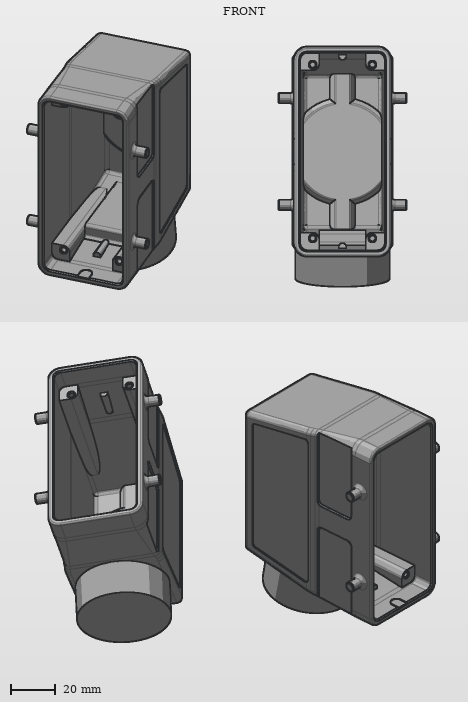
import cadquery as cq
import math


RIM_BAND = 10.6
SHOULDER_START = 32.3
SHOULDER_END = 36.8
HOOD_DEPTH = 75.7
FRONT_HALF_WIDTH = 21.6
BACK_HALF_WIDTH = 22.5
RIM_HALF_HEIGHT = 46.8
SHOULDER_HALF_HEIGHT = 44.1
BACK_HALF_HEIGHT = 36.5
RIM_CORNER = 5.8
BACK_CORNER = 2.6
BEND_HALF_LENGTH = 1.2
RIM_FILLET = 0.9
BACK_FILLET = 2.1

WALL = 2.9
CAVITY_DEPTH = HOOD_DEPTH - WALL
CAVITY_BACK_HALF_WIDTH = 17.4
CAVITY_BACK_HALF_HEIGHT = 34.2
CAVITY_RIM_CORNER = RIM_CORNER - WALL
CAVITY_BACK_CORNER = 1.6
CAVITY_BACK_FILLET = 1.6
MOUTH_CHAMFER = 0.6

DISC_RADIUS = 24.0
STRIP_HALF_WIDTH = 5.6
RELIEF_HEIGHT = 2.1
RELIEF_TAPER = 45.0
RELIEF_FILLET = 1.1

SCREW_X = 13.3
SCREW_Z = 38.6
POST_FACE = 10.2
POST_INNER_X = 10.3
POST_INNER_Z = 36.1
POST_CORNER = 3.2
SCREW_RADIUS = 1.3
SCREW_CHAMFER = 0.5
SCREW_DEPTH = 16.0

PAD_FACE = 28.9
PAD_TOP_Z = -35.1
PAD_FOOT_Z = -41.6
PAD_FILLET = 1.5
RIB_FACE = 17.1
RIB_RADIUS = 1.7
RIB_TOP = 40.8
NOTCH_WIDTH = 5.5
NOTCH_LENGTH = 6.7
NOTCH_DEPTH = 0.3

LABEL_FRONT = 37.1
LABEL_BACK = 70.2
LABEL_FRONT_HALF_HEIGHT = 37.8
LABEL_BACK_HALF_HEIGHT = 32.2
LABEL_DEPTH = 0.3
LABEL_CORNER = 1.6
POCKET_FRONT = 12.1
POCKET_BACK = 31.6
POCKET_INNER_Z = 6.2
POCKET_DEPTH = 0.7
POCKET_CORNER = 2.1
PANEL_TAPER = 40.0

PEG_Y = 6.3
PEG_Z = 23.8
PEG_RADIUS = 2.4
PEG_TIP_X = 28.52
PEG_TIP_CHAMFER = 0.4
PEG_ROOT_FILLET = 1.7
PEG_EMBED = 1.1

ENTRY_RADIUS = 21.1
ENTRY_END_Y = 56.5
ENTRY_END_Z = -56.6
ENTRY_LENGTH = 26.8
SLOPE = math.atan2(SHOULDER_HALF_HEIGHT - BACK_HALF_HEIGHT, HOOD_DEPTH - SHOULDER_START)
SHOULDER_BACK_HALF_HEIGHT = SHOULDER_HALF_HEIGHT - (SHOULDER_END - SHOULDER_START) * math.tan(SLOPE)


def box(x_range, y_range, z_range):
    """Box between two limits along each axis."""
    (x0, x1), (y0, y1), (z0, z1) = x_range, y_range, z_range
    return cq.Workplane("XY").box(x1 - x0, y1 - y0, z1 - z0, centered=False).translate((x0, y0, z0))


def section_wire(y, half_width, half_height, corner):
    """Rounded rectangle parallel to the rim plane at distance y."""
    plane = cq.Plane(origin=(0, y, 0), xDir=(1, 0, 0), normal=(0, -1, 0))
    rectangle = cq.Sketch().rect(2 * half_width, 2 * half_height).vertices().fillet(corner)
    return rectangle.reset().faces().val().outerWire().moved(cq.Location(plane))


def soften(sections):
    """Replace each inner section by one on either side of it, so that no wall turns sharply."""
    softened = [sections[0]]
    for before, kink, after in zip(sections, sections[1:], sections[2:]):
        for neighbour in (before, after):
            share = BEND_HALF_LENGTH / abs(neighbour[0] - kink[0])
            softened.append(tuple(k + share * (n - k) for k, n in zip(kink, neighbour)))
    return softened + [sections[-1]]


def loft_between(start, end):
    """Flat-walled solid between two sections."""
    return cq.Solid.makeLoft([section_wire(*start), section_wire(*end)], True)


def loft_through(sections):
    """Flat-walled body running through the given sections, with its bends softened."""
    softened = soften(sections)
    pieces = [loft_between(start, end) for start, end in zip(softened, softened[1:])]
    return cq.Workplane(pieces[0].fuse(*pieces[1:]).clean())


def make_envelope():
    """Outside of the hood without its openings."""
    body = loft_through([
        (0, FRONT_HALF_WIDTH, RIM_HALF_HEIGHT, RIM_CORNER),
        (RIM_BAND, FRONT_HALF_WIDTH, RIM_HALF_HEIGHT, RIM_CORNER),
        (SHOULDER_START, FRONT_HALF_WIDTH, SHOULDER_HALF_HEIGHT, BACK_CORNER),
        (SHOULDER_END, BACK_HALF_WIDTH, SHOULDER_BACK_HALF_HEIGHT, BACK_CORNER),
        (HOOD_DEPTH, BACK_HALF_WIDTH, BACK_HALF_HEIGHT, BACK_CORNER),
    ])
    return body.faces(">Y").edges().fillet(BACK_FILLET).faces("<Y").edges().fillet(RIM_FILLET)


def make_cavity():
    """Inside space of the hood, narrowing toward the back wall."""
    half_width = FRONT_HALF_WIDTH - WALL
    half_height = RIM_HALF_HEIGHT - WALL
    cavity = loft_through([
        (0, half_width, half_height, CAVITY_RIM_CORNER),
        (RIM_BAND, half_width, half_height, CAVITY_RIM_CORNER),
        (SHOULDER_START, half_width, SHOULDER_HALF_HEIGHT - WALL, CAVITY_BACK_CORNER),
        (CAVITY_DEPTH, CAVITY_BACK_HALF_WIDTH, CAVITY_BACK_HALF_HEIGHT, CAVITY_BACK_CORNER),
    ]).faces(">Y").edges().fillet(CAVITY_BACK_FILLET)
    mouth = loft_between(
        (0, half_width + MOUTH_CHAMFER, half_height + MOUTH_CHAMFER, CAVITY_RIM_CORNER + MOUTH_CHAMFER),
        (MOUTH_CHAMFER, half_width, half_height, CAVITY_RIM_CORNER),
    )
    return cavity.union(cq.Workplane(mouth))


def make_relief():
    """Disc and centre strip standing on the back wall, with sloping edges."""
    back_plane = cq.Workplane("XZ", origin=(0, CAVITY_DEPTH, 0))
    disc = back_plane.circle(DISC_RADIUS).extrude(RELIEF_HEIGHT, taper=RELIEF_TAPER)
    strip = back_plane.rect(2 * STRIP_HALF_WIDTH, 2 * RIM_HALF_HEIGHT).extrude(
        RELIEF_HEIGHT, taper=RELIEF_TAPER
    )
    return disc.union(strip).faces("<Y").edges().fillet(RELIEF_FILLET)


def make_post(side_x, side_z):
    """Corner post with a rounded inner edge, reaching into the surrounding walls."""
    post = box(
        (POST_INNER_X, FRONT_HALF_WIDTH), (POST_FACE, CAVITY_DEPTH), (POST_INNER_Z, RIM_HALF_HEIGHT)
    ).edges("|Y and <X and <Z").fillet(POST_CORNER)
    if side_x < 0:
        post = post.mirror("YZ")
    if side_z < 0:
        post = post.mirror("XY")
    return post


def make_screw_hole(x, z):
    """Blind screw hole with a chamfered mouth in a post end."""
    mouth_radius = SCREW_RADIUS + SCREW_CHAMFER
    hole = cq.Workplane("XZ", origin=(x, POST_FACE, z)).circle(SCREW_RADIUS).extrude(-SCREW_DEPTH)
    mouth = cq.Workplane(
        cq.Solid.makeCone(mouth_radius, 0, mouth_radius, cq.Vector(x, POST_FACE, z), cq.Vector(0, 1, 0))
    )
    return hole.union(mouth)


def make_pad():
    """Raised floor between the two lower posts, above the cable entry."""
    foot_start = PAD_FACE - PAD_FILLET
    arc_offset = PAD_FILLET * (1 - math.sqrt(0.5))
    return (
        cq.Workplane("YZ", origin=(-POST_INNER_X, 0, 0))
        .moveTo(foot_start, -RIM_HALF_HEIGHT)
        .lineTo(foot_start, PAD_FOOT_Z)
        .threePointArc(
            (PAD_FACE - arc_offset, PAD_FOOT_Z + arc_offset), (PAD_FACE, PAD_FOOT_Z + PAD_FILLET)
        )
        .lineTo(PAD_FACE, PAD_TOP_Z - PAD_FILLET)
        .threePointArc(
            (PAD_FACE + arc_offset, PAD_TOP_Z - arc_offset), (PAD_FACE + PAD_FILLET, PAD_TOP_Z)
        )
        .lineTo(CAVITY_DEPTH, PAD_TOP_Z)
        .lineTo(CAVITY_DEPTH, -RIM_HALF_HEIGHT)
        .close()
        .extrude(2 * POST_INNER_X)
    )


def make_rib(side_z):
    """Guide rib with a half-round crest, running along Y."""
    crest_z = side_z * (RIB_TOP + RIB_RADIUS)
    crest = cq.Workplane("XZ", origin=(0, RIB_FACE, crest_z)).circle(RIB_RADIUS).extrude(RIB_FACE - PAD_FACE)
    root_limits = sorted((crest_z, side_z * RIM_HALF_HEIGHT))
    return crest.union(box((-RIB_RADIUS, RIB_RADIUS), (RIB_FACE, PAD_FACE), root_limits))


def make_notch():
    """Shallow round-ended notch in the cavity floor, open at the rim."""
    floor_z = WALL - RIM_HALF_HEIGHT
    end_radius = NOTCH_WIDTH / 2
    straight = NOTCH_LENGTH - end_radius
    return (
        cq.Workplane("XY", origin=(0, 0, floor_z - NOTCH_DEPTH))
        .moveTo(-end_radius, 0)
        .lineTo(end_radius, 0)
        .lineTo(end_radius, straight)
        .threePointArc((0, NOTCH_LENGTH), (-end_radius, straight))
        .close()
        .extrude(2 * NOTCH_DEPTH)
    )


def make_label_recess():
    """Shallow recess for lettering on the +X side, with the slope of the hood."""
    floor = cq.Sketch().polygon([
        (LABEL_FRONT, -LABEL_FRONT_HALF_HEIGHT),
        (LABEL_BACK, -LABEL_BACK_HALF_HEIGHT),
        (LABEL_BACK, LABEL_BACK_HALF_HEIGHT),
        (LABEL_FRONT, LABEL_FRONT_HALF_HEIGHT),
        (LABEL_FRONT, -LABEL_FRONT_HALF_HEIGHT),
    ]).vertices().fillet(LABEL_CORNER)
    floor_plane = cq.Workplane("YZ", origin=(BACK_HALF_WIDTH - LABEL_DEPTH, 0, 0))
    return floor_plane.placeSketch(floor).extrude(LABEL_DEPTH, taper=-PANEL_TAPER)


def make_side_pocket(side_z):
    """Recess on the +X side that runs out through the rounded hood edge."""
    floor_x = FRONT_HALF_WIDTH - POCKET_DEPTH
    floor = (
        cq.Sketch()
        .push([((POCKET_FRONT + POCKET_BACK) / 2, side_z * (POCKET_INNER_Z + RIM_HALF_HEIGHT / 2))])
        .rect(POCKET_BACK - POCKET_FRONT, RIM_HALF_HEIGHT)
        .reset()
        .vertices()
        .fillet(POCKET_CORNER)
    )
    return cq.Workplane("YZ", origin=(floor_x, 0, 0)).placeSketch(floor).extrude(
        POCKET_DEPTH, taper=-PANEL_TAPER
    )


def make_peg(z):
    """Locking peg on the +X side, flared where it meets the wall."""
    flare_radius = PEG_RADIUS + PEG_ROOT_FILLET
    flare_end = FRONT_HALF_WIDTH + PEG_ROOT_FILLET
    arc_offset = PEG_ROOT_FILLET * (1 - math.sqrt(0.5))
    return (
        cq.Workplane("XY")
        .moveTo(FRONT_HALF_WIDTH - PEG_EMBED, 0)
        .lineTo(FRONT_HALF_WIDTH - PEG_EMBED, flare_radius)
        .lineTo(FRONT_HALF_WIDTH, flare_radius)
        .threePointArc((FRONT_HALF_WIDTH + arc_offset, PEG_RADIUS + arc_offset), (flare_end, PEG_RADIUS))
        .lineTo(PEG_TIP_X - PEG_TIP_CHAMFER, PEG_RADIUS)
        .lineTo(PEG_TIP_X, PEG_RADIUS - PEG_TIP_CHAMFER)
        .lineTo(PEG_TIP_X, 0)
        .close()
        .revolve(360, (0, 0, 0), (1, 0, 0))
        .translate((0, PEG_Y, z))
    )


def make_hood(envelope):
    """Hood with its inner details, side panels and pegs."""
    cavity = make_cavity().cut(make_relief()).cut(make_pad())
    for side_z in (-1, 1):
        cavity = cavity.cut(make_rib(side_z))
        for side_x in (-1, 1):
            cavity = cavity.cut(make_post(side_x, side_z))
    hood = envelope.cut(cavity).cut(make_notch())

    for side_z in (-1, 1):
        for side_x in (-1, 1):
            hood = hood.cut(make_screw_hole(side_x * SCREW_X, side_z * SCREW_Z))

    side_cuts = [make_label_recess(), make_side_pocket(-1), make_side_pocket(1)]
    for side_cut in side_cuts:
        hood = hood.cut(side_cut).cut(side_cut.mirror("YZ"))
    for side_z in (-1, 1):
        peg = make_peg(side_z * PEG_Z)
        hood = hood.union(peg).union(peg.mirror("YZ"))
    return hood


def make_cable_entry(envelope):
    """Round collar standing square on the sloping lower side of the hood."""
    inward = cq.Vector(0, -math.sin(SLOPE), math.cos(SLOPE))
    end_centre = cq.Vector(0, ENTRY_END_Y, ENTRY_END_Z)
    collar = cq.Workplane(cq.Solid.makeCylinder(ENTRY_RADIUS, ENTRY_LENGTH, end_centre, inward))
    return collar.cut(envelope)


envelope = make_envelope()
hood = make_hood(envelope)
cable_entry = make_cable_entry(envelope)

result = cq.Compound.makeCompound([hood.val(), cable_entry.val()])